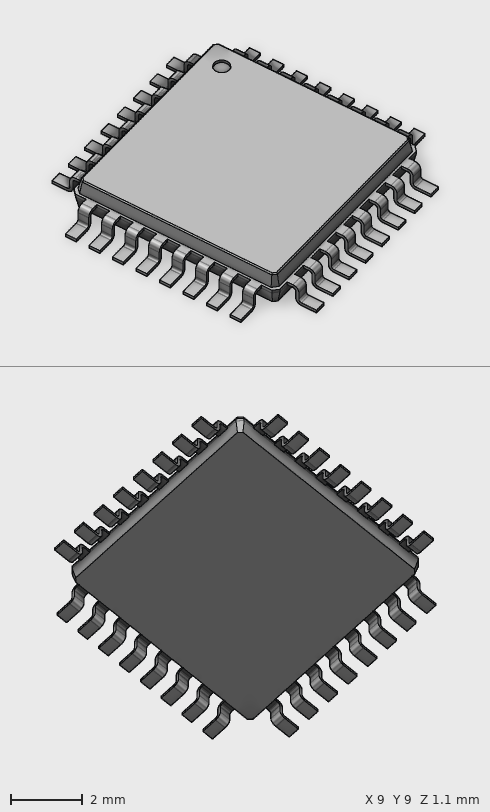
import cadquery as cq

SPAN = 9.0
HEIGHT = 1.1

LEADS_PER_SIDE = 8
LEAD_ROW_LENGTH = 5.6
LEAD_PITCH = LEAD_ROW_LENGTH / (LEADS_PER_SIDE - 1)
LEAD_WIDTH = 0.37
LEAD_THICKNESS = 0.11
FOOT_LENGTH = 0.51
BEND_INNER_RADIUS = 0.09
LEAD_TOP = 0.66

BODY_BOTTOM = 0.1
BAND_HALF = 3.5
BOTTOM_HALF = 3.4
UPPER_HALF = 3.42
TOP_HALF = 3.33
CORNER_CUT = 0.16
NARROW_CORNER_CUT = 0.11
TOP_CHAMFER = 0.04

MARK_DIAMETER = 0.5
MARK_DEPTH = 0.1
MARK_OFFSET = 2.63

BEND_OUTER_RADIUS = BEND_INNER_RADIUS + LEAD_THICKNESS
LEAD_BOTTOM = LEAD_TOP - LEAD_THICKNESS


def cut_corner_square(half, cut):
    """Corner points of a centred square whose four corners are cut at 45 degrees."""
    near = half - cut
    return [
        (half, near),
        (near, half),
        (-near, half),
        (-half, near),
        (-half, -near),
        (-near, -half),
        (near, -half),
        (half, -near),
    ]


def tapered_block(z_low, half_low, cut_low, z_high, half_high, cut_high):
    """Block that runs straight from one cut-corner square to another."""
    return (
        cq.Workplane("XY", origin=(0, 0, z_low))
        .polyline(cut_corner_square(half_low, cut_low))
        .close()
        .workplane(offset=z_high - z_low)
        .polyline(cut_corner_square(half_high, cut_high))
        .close()
        .loft(ruled=True)
    )


def make_body():
    """Tapered lower half, straight band and tapered upper half with an edge chamfer."""
    lower = tapered_block(
        BODY_BOTTOM, BOTTOM_HALF, NARROW_CORNER_CUT, LEAD_BOTTOM, BAND_HALF, CORNER_CUT
    )
    band = tapered_block(LEAD_BOTTOM, BAND_HALF, CORNER_CUT, LEAD_TOP, BAND_HALF, CORNER_CUT)
    upper = tapered_block(LEAD_TOP, UPPER_HALF, CORNER_CUT, HEIGHT, TOP_HALF, NARROW_CORNER_CUT)
    upper = upper.faces(">Z").chamfer(TOP_CHAMFER)
    return lower.union(band).union(upper)


def make_lead():
    """One gull-wing lead on the +X side, centred on the X axis."""
    tip = SPAN / 2
    foot_end = tip - FOOT_LENGTH
    leg_outer = foot_end - BEND_INNER_RADIUS
    leg_inner = leg_outer - LEAD_THICKNESS
    shoulder = leg_outer - BEND_OUTER_RADIUS
    root = UPPER_HALF - LEAD_THICKNESS
    upper_bend_z = LEAD_TOP - BEND_OUTER_RADIUS
    return (
        cq.Workplane("XZ", origin=(0, LEAD_WIDTH / 2, 0))
        .moveTo(tip, 0)
        .lineTo(tip, LEAD_THICKNESS)
        .lineTo(foot_end, LEAD_THICKNESS)
        .radiusArc((leg_outer, BEND_OUTER_RADIUS), BEND_INNER_RADIUS)
        .lineTo(leg_outer, upper_bend_z)
        .radiusArc((shoulder, LEAD_TOP), -BEND_OUTER_RADIUS)
        .lineTo(root, LEAD_TOP)
        .lineTo(root, LEAD_BOTTOM)
        .lineTo(shoulder, LEAD_BOTTOM)
        .radiusArc((leg_inner, upper_bend_z), BEND_INNER_RADIUS)
        .lineTo(leg_inner, BEND_OUTER_RADIUS)
        .radiusArc((foot_end, 0), -BEND_OUTER_RADIUS)
        .close()
        .extrude(LEAD_WIDTH)
    )


def make_leads():
    """All leads: one row, repeated on the four sides."""
    lead = make_lead()
    first = -LEAD_ROW_LENGTH / 2
    leads = []
    for side in range(4):
        for index in range(LEADS_PER_SIDE):
            placed = lead.translate((0, first + index * LEAD_PITCH, 0))
            leads.append(placed.rotate((0, 0, 0), (0, 0, 1), 90 * side))
    return leads


def make_pin_one_mark():
    """Shallow round recess in the top face, near the (-X, +Y) corner."""
    return (
        cq.Workplane("XY", origin=(-MARK_OFFSET, MARK_OFFSET, HEIGHT - MARK_DEPTH))
        .circle(MARK_DIAMETER / 2)
        .extrude(MARK_DEPTH)
    )


result = make_body()
for lead in make_leads():
    result = result.union(lead)
result = result.cut(make_pin_one_mark())